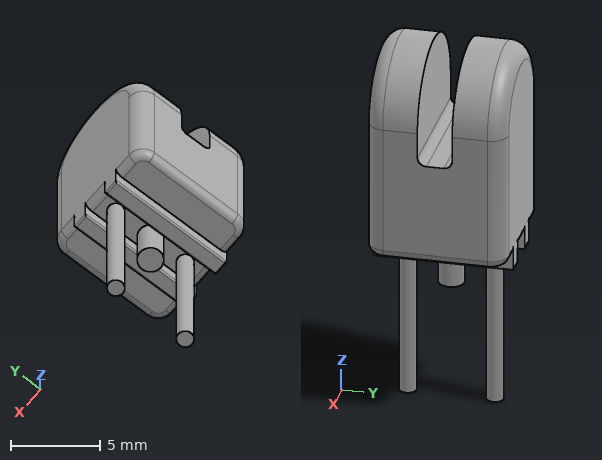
import cadquery as cq

total_height = 22.0
lead_length = 9.99
body_height = total_height - lead_length
body_width = 8.0
crown_radius = body_width / 2

side_fillet = body_width / 8
bottom_fillet = side_fillet / 2

slot_width = body_width / 4
slot_depth = body_height / 2
slot_fillet = slot_width / 4

rail_width = body_width / 8
rail_drop = body_width / 8
rail_gap = 1.7
rail_fillet = 0.1

peg_diameter = 1.5
peg_length = 3.0
lead_diameter = body_width / 8
lead_spacing = body_width * 5 / 8


def rounded_body():
    """Block with a semicircular crown, rounded end outlines and underside."""
    spring_height = body_height - crown_radius
    block = (
        cq.Workplane("XZ")
        .moveTo(-crown_radius, 0)
        .lineTo(crown_radius, 0)
        .lineTo(crown_radius, spring_height)
        .threePointArc((0, body_height), (-crown_radius, spring_height))
        .close()
        .extrude(crown_radius, both=True)
    )
    block = block.faces("<Y or >Y").edges("not <Z").fillet(side_fillet)
    return block.faces("<Z").edges().fillet(bottom_fillet)


def slot():
    """Slot through the crown along X, with rounded floor corners."""
    return (
        cq.Workplane("XY")
        .workplane(offset=body_height - slot_depth)
        .rect(body_width, slot_width)
        .extrude(slot_depth)
        .edges("|X and <Z")
        .fillet(slot_fillet)
    )


def rail(center_x):
    """Rail running the full depth of the body, rounded around its foot."""
    return (
        cq.Workplane("XY")
        .workplane(offset=-rail_drop)
        .center(center_x, 0)
        .rect(rail_width, body_width)
        .extrude(rail_drop + bottom_fillet)
        .faces("<Z")
        .edges()
        .fillet(rail_fillet)
    )


def round_post(center_y, diameter, length):
    """Round post hanging from the body underside."""
    return (
        cq.Workplane("XY")
        .center(0, center_y)
        .circle(diameter / 2)
        .extrude(-length)
    )


result = rounded_body().cut(slot())
for side in (-1, 1):
    result = result.union(rail(side * (rail_gap + rail_width) / 2))
    result = result.union(round_post(side * lead_spacing / 2, lead_diameter, lead_length))
result = result.union(round_post(0, peg_diameter, peg_length))